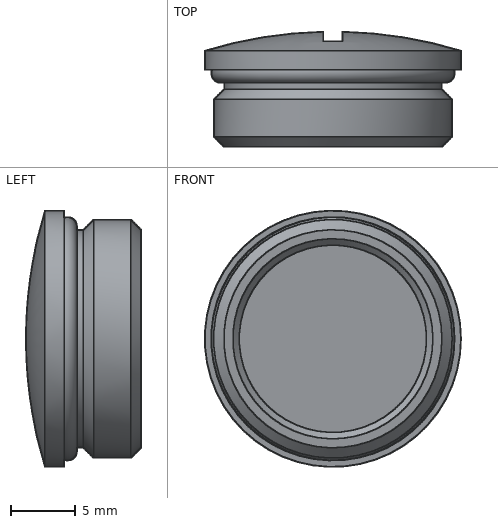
import cadquery as cq
import math

flange_radius = 20 / 2
body_radius = 18.6 / 2
neck_radius = 17 / 2
ring_radius = 19 / 2
body_chamfer = body_radius - neck_radius

body_end = 4.5
ring_start = 5.0
flange_start = 6.0
flange_end = 7.5
dome_top = 9.0
ring_section_radius = 1.5 / 2

recess_mouth_radius = 15.6 / 2
recess_floor_radius = 14.6 / 2
recess_depth = 0.5

slot_width = 1.5
slot_floor = 8.25


def turned_body():
    """Revolve the chamfered body, neck, flange and domed head."""
    dome_height = dome_top - flange_end
    sphere_radius = (flange_radius**2 + dome_height**2) / (2 * dome_height)
    mid_radius = flange_radius / 2
    mid_height = dome_top - sphere_radius + math.sqrt(sphere_radius**2 - mid_radius**2)
    return (
        cq.Workplane("XY")
        .lineTo(body_radius - body_chamfer, 0)
        .lineTo(body_radius, body_chamfer)
        .lineTo(body_radius, body_end - body_chamfer)
        .lineTo(neck_radius, body_end)
        .lineTo(neck_radius, flange_start)
        .lineTo(flange_radius, flange_start)
        .lineTo(flange_radius, flange_end)
        .threePointArc((mid_radius, mid_height), (0, dome_top))
        .close()
        .revolve(360, (0, 0, 0), (0, 1, 0))
    )


def sealing_ring():
    """O-ring seated around the neck and partly sunk into the flange."""
    section_x = ring_radius - ring_section_radius
    section_y = ring_start + ring_section_radius
    diagonal = ring_section_radius / math.sqrt(2)
    return (
        cq.Workplane("XY")
        .moveTo(section_x - diagonal, section_y - diagonal)
        .threePointArc((ring_radius, section_y), (section_x - diagonal, section_y + diagonal))
        .close()
        .revolve(360, (0, 0, 0), (0, 1, 0))
    )


def end_recess():
    """Shallow recess with a conical wall in the plain end face."""
    return (
        cq.Workplane("XY")
        .lineTo(recess_mouth_radius, 0)
        .lineTo(recess_floor_radius, recess_depth)
        .lineTo(0, recess_depth)
        .close()
        .revolve(360, (0, 0, 0), (0, 1, 0))
    )


def driver_slot():
    """Straight slot across the dome, running along Z."""
    slot_depth = dome_top - slot_floor
    return cq.Workplane("XY").box(slot_width, slot_depth, 2 * flange_radius).translate(
        (0, slot_floor + slot_depth / 2, 0)
    )


result = turned_body().cut(end_recess()).cut(driver_slot()).union(sealing_ring())